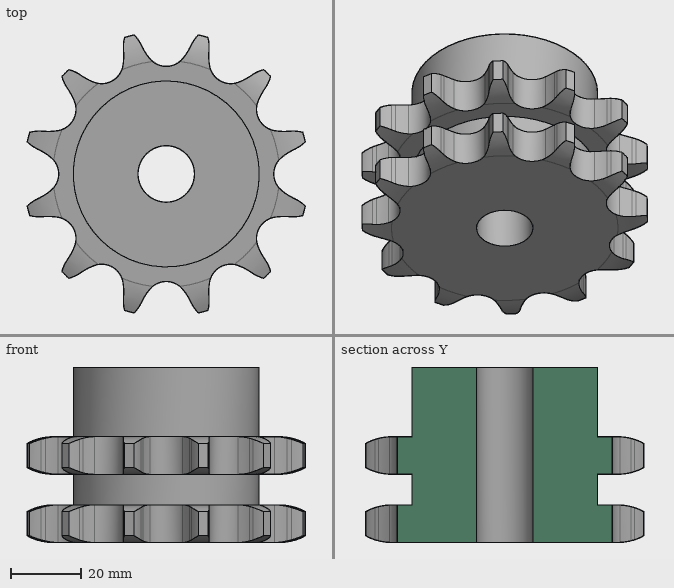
import cadquery as cq
import math

TEETH = 12
CHAIN_PITCH = 19.05
ROLLER_DIAMETER = 12.1
ROLLER_CLEARANCE = 0.1
TIP_CORNER_HEIGHT = 39.7

STRAND_THICKNESS = 10.8
STRAND_SPACING = 19.45
STRAND_COUNT = 2

TOOTH_RELIEF_RADIUS = CHAIN_PITCH
TOOTH_RELIEF_START_RADIUS = 32.3
RIM_MARGIN = 0.8

HUB_DIAMETER = 53.0
BORE_DIAMETER = 16.0
TOTAL_HEIGHT = 50.0

TOOTH_ANGLE = 360 / TEETH
PITCH_RADIUS = CHAIN_PITCH / (2 * math.sin(math.radians(TOOTH_ANGLE / 2)))

SEATING_RADIUS = (1.005 * ROLLER_DIAMETER + ROLLER_CLEARANCE) / 2
SEATING_ANGLE = 35 + 60 / TEETH
WORKING_ANGLE = 18 - 56 / TEETH
FLAT_ANGLE = SEATING_ANGLE - WORKING_ANGLE
WORKING_CENTER_OFFSET = 0.8 * ROLLER_DIAMETER
WORKING_RADIUS = SEATING_RADIUS + WORKING_CENTER_OFFSET
TOPPING_CENTER_OFFSET = 1.4 * ROLLER_DIAMETER
FLAT_LENGTH = (
    TOPPING_CENTER_OFFSET * math.sin(math.radians(17 - 64 / TEETH))
    - WORKING_CENTER_OFFSET * math.sin(math.radians(WORKING_ANGLE))
)


def shift(point, distance, angle):
    """Move a point by a distance in the direction of an angle in degrees."""
    turn = math.radians(angle)
    return (point[0] + distance * math.cos(turn), point[1] + distance * math.sin(turn))


def turned(point, angle):
    """Turn a point about the sprocket axis."""
    return shift((0, 0), math.hypot(*point), angle + math.degrees(math.atan2(point[1], point[0])))


def mirrored(point):
    """Reflect a point across the centerline of the gap on the Y axis."""
    return (-point[0], point[1])


roller_center = (0, PITCH_RADIUS)
gap_bottom = (0, PITCH_RADIUS - SEATING_RADIUS)
seating_middle = shift(roller_center, SEATING_RADIUS, -(90 + SEATING_ANGLE) / 2)
seating_end = shift(roller_center, SEATING_RADIUS, -SEATING_ANGLE)

working_center = shift(roller_center, WORKING_CENTER_OFFSET, 180 - SEATING_ANGLE)
working_middle = shift(working_center, WORKING_RADIUS, -(SEATING_ANGLE + FLAT_ANGLE) / 2)
working_end = shift(working_center, WORKING_RADIUS, -FLAT_ANGLE)
flat_end = shift(working_end, FLAT_LENGTH, 90 - FLAT_ANGLE)

topping_center = shift(roller_center, TOPPING_CENTER_OFFSET, -TOOTH_ANGLE / 2)
topping_radius = math.dist(topping_center, flat_end)
topping_start_angle = 180 - FLAT_ANGLE
topping_end_angle = 180 - math.degrees(
    math.asin((TIP_CORNER_HEIGHT - topping_center[1]) / topping_radius)
)
topping_middle = shift(topping_center, topping_radius, (topping_start_angle + topping_end_angle) / 2)
tip_corner = shift(topping_center, topping_radius, topping_end_angle)

TIP_RADIUS = math.hypot(*tip_corner)
tip_middle = shift((0, 0), TIP_RADIUS, 90 - TOOTH_ANGLE / 2)


def toothed_outline():
    """Closed outline of all teeth, followed clockwise gap by gap."""
    outline = cq.Workplane("XY").moveTo(*mirrored(tip_corner))
    for gap in range(TEETH):
        angle = -gap * TOOTH_ANGLE

        def left(point):
            return turned(mirrored(point), angle)

        def right(point):
            return turned(point, angle)

        outline = (
            outline.threePointArc(left(topping_middle), left(flat_end))
            .lineTo(*left(working_end))
            .threePointArc(left(working_middle), left(seating_end))
            .threePointArc(left(seating_middle), left(gap_bottom))
            .threePointArc(right(seating_middle), right(seating_end))
            .threePointArc(right(working_middle), right(working_end))
            .lineTo(*right(flat_end))
            .threePointArc(right(topping_middle), right(tip_corner))
            .threePointArc(right(tip_middle), turned(mirrored(tip_corner), angle - TOOTH_ANGLE))
        )
    return outline.close()


def relieved_disc():
    """Disc whose rim is rounded on both faces to narrow the teeth toward their tips."""
    def relief_depth(radius):
        run = radius - TOOTH_RELIEF_START_RADIUS
        return TOOTH_RELIEF_RADIUS - math.sqrt(TOOTH_RELIEF_RADIUS**2 - run**2)

    rim_radius = TIP_RADIUS + RIM_MARGIN
    middle_radius = (TOOTH_RELIEF_START_RADIUS + rim_radius) / 2
    middle_depth = relief_depth(middle_radius)
    rim_depth = relief_depth(rim_radius)
    top = STRAND_THICKNESS
    return (
        cq.Workplane("XZ")
        .lineTo(TOOTH_RELIEF_START_RADIUS, 0)
        .threePointArc((middle_radius, middle_depth), (rim_radius, rim_depth))
        .lineTo(rim_radius, top - rim_depth)
        .threePointArc((middle_radius, top - middle_depth), (TOOTH_RELIEF_START_RADIUS, top))
        .lineTo(0, top)
        .close()
        .revolve(360, (0, 0, 0), (0, 1, 0))
    )


strand = toothed_outline().extrude(STRAND_THICKNESS).intersect(relieved_disc())

result = cq.Workplane("XY").circle(HUB_DIAMETER / 2).extrude(TOTAL_HEIGHT)
for strand_index in range(STRAND_COUNT):
    result = result.union(strand.translate((0, 0, strand_index * STRAND_SPACING)))

bore = cq.Workplane("XY").circle(BORE_DIAMETER / 2).extrude(TOTAL_HEIGHT)
result = result.cut(bore)